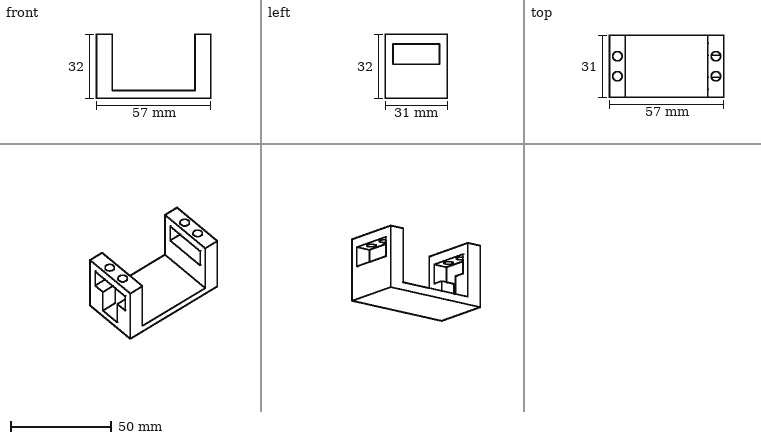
import cadquery as cq

length = 57.0
width = 31.0
height = 32.0

wall = 8.0
floor = 4.0

window_side_margin = 4.0
window_top_margin = 5.0
window_height = 10.0
window_width = width - 2 * window_side_margin
window_top = height - window_top_margin
window_bottom = window_top - window_height

slot_width = 11.0

hole_diameter = 4.7
hole_spacing = 10.0

wall_center = (length - wall) / 2


def block(size_x, size_y, bottom, top, center_x=0):
    """Box centred on Y, spanning the given heights."""
    return (
        cq.Workplane("XY", origin=(center_x, 0, bottom))
        .rect(size_x, size_y)
        .extrude(top - bottom)
    )


result = block(length, width, 0, height)
result = result.cut(block(length - 2 * wall, width, floor, height))

for wall_x in (-wall_center, wall_center):
    result = result.cut(block(wall, window_width, window_bottom, window_top, wall_x))
    holes = (
        cq.Workplane("XY", origin=(wall_x, 0, window_top))
        .pushPoints([(0, -hole_spacing / 2), (0, hole_spacing / 2)])
        .circle(hole_diameter / 2)
        .extrude(window_top_margin)
    )
    result = result.cut(holes)

result = result.cut(block(wall, slot_width, floor, window_bottom, wall_center))